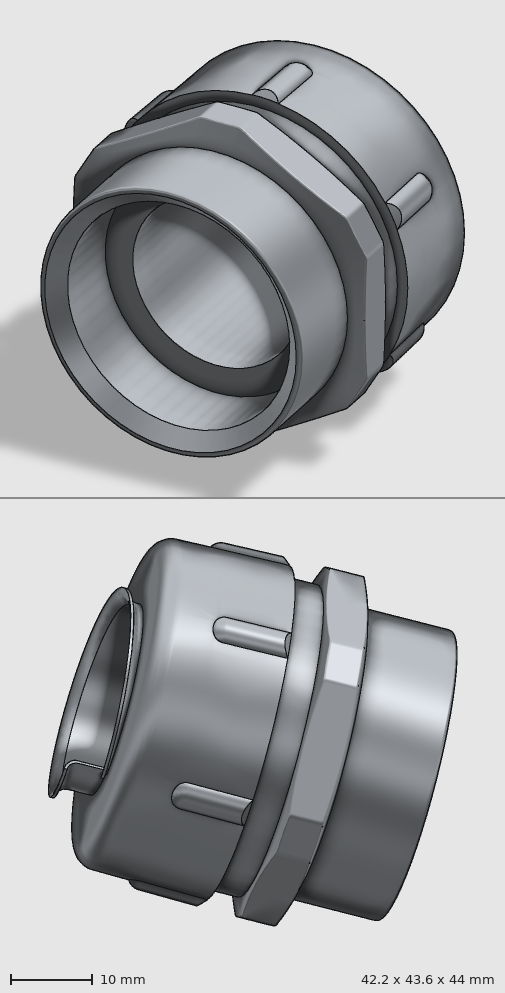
import cadquery as cq
import math


stub_radius = 36.6 / 2
stub_edge_round = 0.45
bore_radius = 31.0 / 2
bore_depth = 11.48
mouth_radius = 17.55
through_radius = 23.3 / 2

hex_across_flats = 40.85
hex_corner_reach = 22.0
hex_corner_round = 1.45
hex_rim_front = 12.5
hex_rim_back = 16.9
hex_bevel_angle = 15.0
hex_rim_round = 0.25

neck_radius = 39.3 / 2
nut_front = 21.55
nut_back = 38.15
nut_front_radius = 21.1
nut_shoulder_radius = 20.8
nut_edge_round = 2.5

rib_count = 6
rib_turn = 3.3
rib_radius = 2.3
rib_reach = 22.0
rib_end = 31.45
rib_end_round = 1.75
rib_bevel = 0.85

sleeve_radius = 24.1 / 2
lip_radius = 13.5
lip_pitch = 4.65
lip_start_angle = 74.0
lip_end_y = 43.55
bore_allowance = 0.2
skirt_length = 5.28


def turned(points):
    """Solid of revolution about Y from a closed (radius, Y) polygon."""
    return cq.Workplane("XY").polyline(points).close().revolve(360, (0, 0, 0), (0, 1, 0))


def disc(radius, start, end):
    """Cylinder about Y from one Y position to another."""
    return cq.Workplane("XZ", origin=(0, start, 0)).circle(radius).extrude(start - end)


def make_stub():
    stub = disc(stub_radius, 0, hex_rim_back)
    return stub.faces("<Y").edges().fillet(stub_edge_round)


def make_flange():
    slope = math.tan(math.radians(hex_bevel_angle))
    front = hex_rim_front - (hex_corner_reach - stub_radius) * slope
    back = hex_rim_back + (hex_corner_reach - neck_radius) * slope
    length = back - front

    def hexagon(across_flats, turn):
        corner_diameter = across_flats / math.cos(math.pi / 6)
        prism = cq.Workplane("XZ", origin=(0, front, 0)).polygon(6, corner_diameter).extrude(-length)
        return prism.rotate((0, 0, 0), (0, 1, 0), turn)

    prism = hexagon(hex_across_flats, 30).intersect(hexagon(2 * hex_corner_reach, 0))
    prism = prism.edges("|Y").fillet(hex_corner_round)

    clear = 2.2
    bevels = turned([
        (0, front),
        (stub_radius, front),
        (hex_corner_reach + clear, hex_rim_front + clear * slope),
        (hex_corner_reach + clear, hex_rim_back - clear * slope),
        (neck_radius, back),
        (0, back),
    ])
    flange = prism.intersect(bevels)
    rim_edges = flange.faces("%CONE").edges().edges("not %CIRCLE")
    return flange.newObject(rim_edges.vals()).fillet(hex_rim_round)


def make_nut():
    arc_offset = nut_edge_round * math.sqrt(0.5)
    flat_radius = nut_shoulder_radius - nut_edge_round
    shoulder = nut_back - nut_edge_round
    return (
        cq.Workplane("XY")
        .moveTo(0, nut_front)
        .lineTo(nut_front_radius, nut_front)
        .lineTo(nut_shoulder_radius, shoulder)
        .threePointArc((flat_radius + arc_offset, shoulder + arc_offset), (flat_radius, nut_back))
        .lineTo(0, nut_back)
        .close()
        .revolve(360, (0, 0, 0), (0, 1, 0))
    )


def make_rib():
    """Round rib along the top of the nut, following its taper, with a rounded end."""
    axis_height = rib_reach - rib_radius
    taper_run = nut_back - nut_edge_round - nut_front
    taper = math.degrees(math.atan((nut_front_radius - nut_shoulder_radius) / taper_run))
    clear = 0.45
    rib = disc(rib_radius, nut_front - clear, rib_end).faces(">Y").edges().fillet(rib_end_round)
    rib = rib.translate((0, 0, axis_height))
    rib = rib.rotate((0, nut_front, axis_height), (1, nut_front, axis_height), -taper)

    front_bevel = turned([
        (0, nut_front),
        (rib_reach - rib_bevel, nut_front),
        (rib_reach + rib_bevel, nut_front + 2 * rib_bevel),
        (rib_reach + rib_bevel, nut_back),
        (0, nut_back),
    ])
    return rib.intersect(front_bevel)


def make_sleeve():
    """One turn of a thin wall whose upper edge flares outward like a trumpet."""
    inner_radius = through_radius - bore_allowance
    outer_arc = lip_radius - sleeve_radius
    inner_arc = lip_radius - through_radius
    diagonal = math.sqrt(0.5)
    root = -inner_arc
    profile = (
        cq.Workplane("XZ")
        .moveTo(inner_radius, root - skirt_length)
        .lineTo(sleeve_radius, root - skirt_length)
        .lineTo(sleeve_radius, root)
        .threePointArc(
            (lip_radius - outer_arc * diagonal, root + outer_arc * diagonal),
            (lip_radius, root + outer_arc),
        )
        .lineTo(lip_radius, 0)
        .threePointArc(
            (lip_radius - inner_arc * diagonal, root + inner_arc * diagonal),
            (inner_radius, root),
        )
        .close()
    )
    helix = cq.Wire.makeHelix(lip_pitch, lip_pitch, sleeve_radius)
    sleeve = profile.sweep(cq.Workplane(helix), isFrenet=True)
    sleeve = sleeve.rotate((0, 0, 0), (0, 0, 1), lip_start_angle)
    sleeve = sleeve.rotate((0, 0, 0), (1, 0, 0), -90)
    sleeve = sleeve.translate((0, lip_end_y - lip_pitch, 0))
    return sleeve.cut(disc(through_radius, 0, lip_end_y + lip_pitch))


def make_bore():
    chamfer = mouth_radius - bore_radius
    through_end = lip_end_y + lip_pitch
    return turned([
        (0, 0),
        (mouth_radius, 0),
        (bore_radius, chamfer),
        (bore_radius, bore_depth),
        (through_radius, bore_depth),
        (through_radius, through_end),
        (0, through_end),
    ])


body = make_stub().union(make_flange()).union(disc(neck_radius, hex_rim_front, nut_front))
body = body.union(make_nut())
rib = make_rib()
for index in range(rib_count):
    body = body.union(rib.rotate((0, 0, 0), (0, 1, 0), rib_turn + index * 360 / rib_count))
result = body.cut(make_bore()).union(make_sleeve())